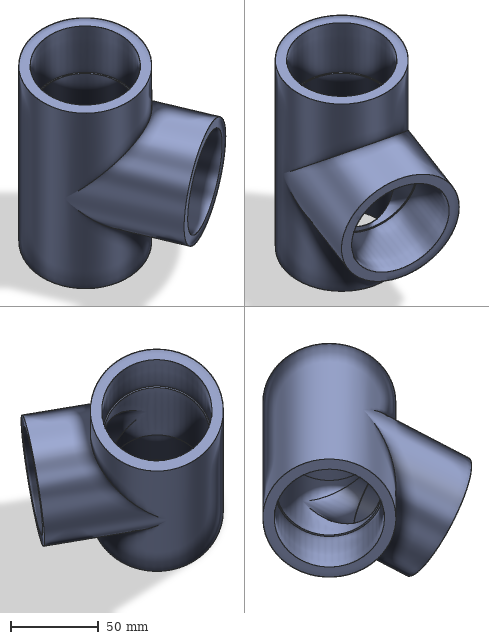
import cadquery as cq

run_length = 144.0
outer_diameter = 76.0
socket_diameter = 63.0
bore_diameter = 61.0
socket_depth = 38.0

reach = run_length / 2

up = cq.Plane(origin=(0, 0, 0), xDir=(1, 0, 0), normal=(0, 0, 1))
down = cq.Plane(origin=(0, 0, 0), xDir=(1, 0, 0), normal=(0, 0, -1))
branch = cq.Plane(origin=(0, 0, 0), xDir=(0, 1, 0), normal=(1, 0, 0))


def cylinder(plane, diameter, start, end):
    """Cylinder along the plane normal between two distances from the tee centre."""
    return cq.Workplane(plane).workplane(offset=start).circle(diameter / 2).extrude(end - start)


body = cylinder(up, outer_diameter, -reach, reach)
body = body.union(cylinder(branch, outer_diameter, 0, reach))

body = body.cut(cylinder(up, bore_diameter, -reach, reach))
body = body.cut(cylinder(branch, bore_diameter, 0, reach))

for mouth in (up, down, branch):
    body = body.cut(cylinder(mouth, socket_diameter, reach - socket_depth, reach))

result = body